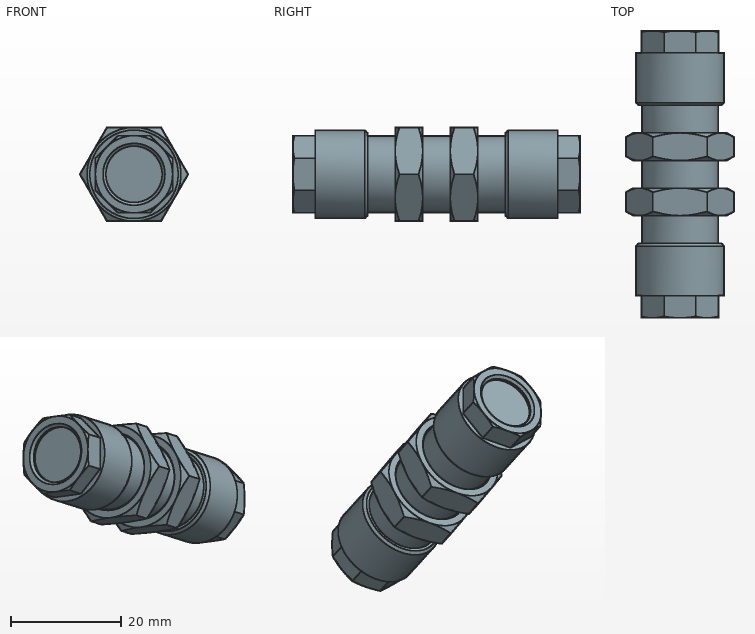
import cadquery as cq
import math

length = 52.0
shaft_diameter = 13.9

nut_flats = 17.0
nut_thickness = 5.0
nut_gap = 5.0
nut_chamfer_angle = 30.0
nut_bore_chamfer = 0.2

sleeve_diameter = 16.0
sleeve_length = 9.5
sleeve_chamfer = 0.5

end_flats = 14.0
end_length = 4.0
end_chamfer_angle = 25.0

bore_diameter = 10.2
bore_depth = 1.0
bore_chamfer = 0.5

half_length = length / 2
sleeve_outer_y = half_length - end_length
sleeve_inner_y = sleeve_outer_y - sleeve_length
nut_inner_y = nut_gap / 2


def cylinder(diameter, start_y, span):
    """Round bar on the Y axis, running from start_y toward +Y."""
    plane = cq.Plane(origin=(0, start_y, 0), xDir=(1, 0, 0), normal=(0, 1, 0))
    return cq.Workplane(plane).circle(diameter / 2).extrude(span)


def prism(sides, flats, start_y, span, turn):
    """Regular prism on the Y axis, with its first corner turned from +X."""
    plane = cq.Plane(origin=(0, start_y, 0), xDir=(1, 0, 0), normal=(0, 1, 0))
    corner_diameter = flats / math.cos(math.pi / sides)
    blank = cq.Workplane(plane).polygon(sides, corner_diameter).extrude(span)
    return blank.rotate((0, 0, 0), (0, 1, 0), turn)


def corner_drop(sides, flats, angle):
    """Radial and axial reach of a conical corner chamfer that starts at the flats."""
    reach = flats / 2 * (1 / math.cos(math.pi / sides) - 1)
    return reach, reach * math.tan(math.radians(angle))


def countersink(face_y, inward):
    """Cone that opens the nut bore at one face; inward is the Y direction into the nut."""
    shaft_radius = shaft_diameter / 2
    profile = [
        (0, face_y),
        (shaft_radius + nut_bore_chamfer, face_y),
        (shaft_radius, face_y + inward * nut_bore_chamfer),
        (0, face_y + inward * nut_bore_chamfer),
    ]
    return cq.Workplane("XY").polyline(profile).close().revolve(360, (0, 0), (0, 1))


def make_nut():
    """Hexagon nut with both faces turned down to a circle tangent to the flats."""
    reach, drop = corner_drop(6, nut_flats, nut_chamfer_angle)
    nut = prism(6, nut_flats, nut_inner_y, nut_thickness, 0)
    envelope = cylinder(nut_flats + 2 * reach, nut_inner_y, nut_thickness)
    envelope = envelope.faces("<Y or >Y").edges().chamfer(drop, reach)
    nut = nut.intersect(envelope)
    for face_y, inward in ((nut_inner_y, 1), (nut_inner_y + nut_thickness, -1)):
        nut = nut.cut(countersink(face_y, inward))
    return nut


def make_sleeve():
    """Round sleeve, chamfered on the side that faces the nuts."""
    sleeve = cylinder(sleeve_diameter, sleeve_inner_y, sleeve_length)
    return sleeve.faces("<Y").chamfer(sleeve_chamfer)


def make_end():
    """Octagonal wrench end with its outer corners turned down."""
    reach, drop = corner_drop(8, end_flats, end_chamfer_angle)
    end = prism(8, end_flats, sleeve_outer_y, end_length, 180 / 8)
    envelope = cylinder(end_flats + 2 * reach, sleeve_outer_y, end_length)
    envelope = envelope.faces(">Y").edges().chamfer(drop, reach)
    return end.intersect(envelope)


def make_recess():
    """Shallow round recess in the end face, with a chamfered mouth."""
    floor_radius = bore_diameter / 2
    profile = [
        (0, half_length - bore_depth),
        (floor_radius, half_length - bore_depth),
        (floor_radius, half_length - bore_chamfer),
        (floor_radius + bore_chamfer, half_length),
        (0, half_length),
    ]
    return cq.Workplane("XY").polyline(profile).close().revolve(360, (0, 0), (0, 1))


shaft = cylinder(shaft_diameter, 0, sleeve_outer_y)
half = shaft.union(make_nut()).union(make_sleeve()).union(make_end()).cut(make_recess())
result = half.union(half.mirror("XZ"))